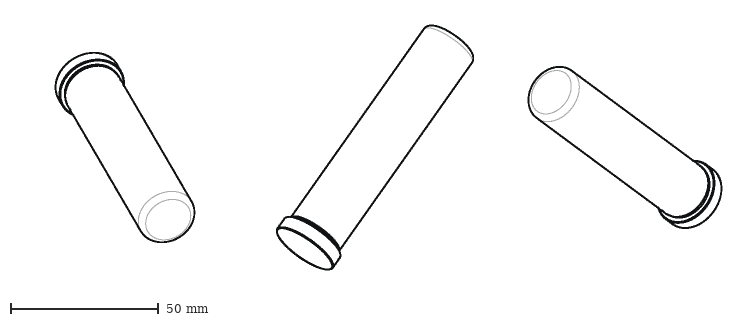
import cadquery as cq

total_length = 90.0
head_diameter = 23.0
head_length = 5.0
head_edge_chamfer = 0.315
shank_diameter = 20.0
tip_radius = 2.0

groove_width = 1.3
groove_depth = 0.3

head_radius = head_diameter / 2
shank_radius = shank_diameter / 2
groove_radius = shank_radius - groove_depth
shank_length = total_length - head_length


def cylinder_along_x(start, radius, length):
    return cq.Workplane("YZ").workplane(offset=start).circle(radius).extrude(length)


head = cylinder_along_x(0, head_radius, head_length).edges().chamfer(head_edge_chamfer)

shank = cylinder_along_x(head_length, shank_radius, shank_length)
shank = shank.faces(">X").edges().fillet(tip_radius)

groove_end = head_length + groove_width
groove = (
    cq.Workplane("XY")
    .moveTo(head_length, groove_radius)
    .lineTo(groove_end - groove_depth, groove_radius)
    .lineTo(groove_end, shank_radius)
    .lineTo(head_length, shank_radius)
    .close()
    .revolve(360, (0, 0, 0), (1, 0, 0))
)

result = head.union(shank.cut(groove))